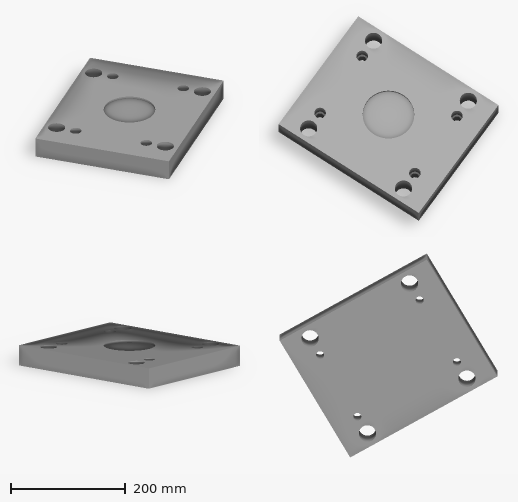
import cadquery as cq

plate_width = 246.0
plate_length = 296.0
plate_thickness = 36.0

corner_hole_diameter = 30.0
corner_hole_spacing = 200.0

screw_hole_diameter = 14.0
counterbore_diameter = 20.0
counterbore_depth = 18.0
screw_spacing_x = 130.0
screw_spacing_y = corner_hole_spacing

recess_diameter = 90.0
recess_depth = 4.0

plate = cq.Workplane("XY").box(
    plate_width, plate_length, plate_thickness, centered=(True, True, False)
)

with_corner_holes = (
    plate.faces(">Z").workplane()
    .rarray(corner_hole_spacing, corner_hole_spacing, 2, 2)
    .hole(corner_hole_diameter)
)

with_screw_holes = (
    with_corner_holes.faces(">Z").workplane(origin=(0, 0, plate_thickness))
    .rarray(screw_spacing_x, screw_spacing_y, 2, 2)
    .cboreHole(screw_hole_diameter, counterbore_diameter, counterbore_depth)
)

result = (
    with_screw_holes.faces(">Z").workplane(origin=(0, 0, plate_thickness))
    .hole(recess_diameter, recess_depth)
)